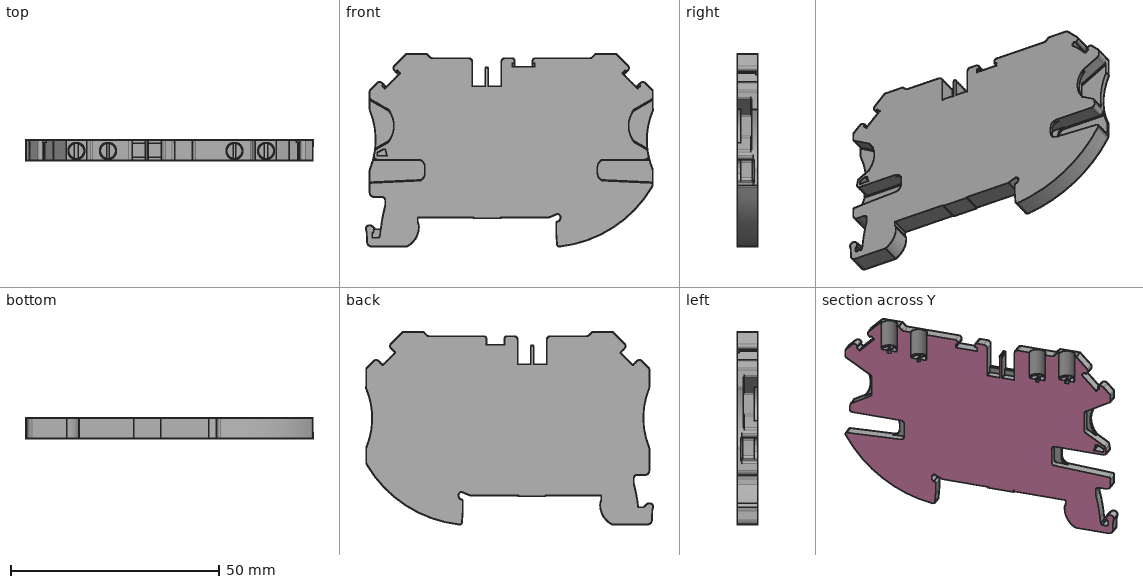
import cadquery as cq
import math


thickness = 5.0
height = 46.2
half_width = 34.0
shoulder_z = 45.25
flat_outer_x = 25.25
flat_inner_x = 20.2
flat_step_run = 1.0
step_radius = 0.75
corner_drop = half_width - flat_outer_x
corner_radius = 0.6
base_z = 7.0
pad_drop = 0.2
web_y = 4.4

waist_top_z = 32.85
waist_bottom_z = 18.4
waist_depth = 1.45
waist_blend_radius = 1.4
tip_overhang = 0.1

notch_start = 4.75
notch_width = 4.2
notch_depth = 2.3
notch_lip_radius = 0.8
undercut_reach = 0.5
undercut_height = 1.0

bridge_left_x = -9.3
bridge_right_x = -2.4
bridge_floor_z = 38.5
bridge_corner_radius = 1.0
trough_margin = 0.8
trough_depth = 1.4
blade_width = 0.75
blade_top_z = 43.05
label_left_x = 0.8
label_right_x = 5.1
label_floor_z = 43.2
label_undercut_reach = 0.55
label_undercut_height = 0.8
label_corner_radius = 0.7

hole_xs = (15.2, 22.8)
hole_y = 2.35
hole_diameter = 4.0
screw_diameter = 3.7
hole_depth = 6.9
seat_depth = 0.35
driver_slot_widths = (0.7, 0.9)
driver_slot_depth = 0.7

skin = 0.8
mouth_radius = 0.55
land_radius = 0.8
floor_chamfer = 0.2
port_z = 29.0
port_floor_y = 3.5
port_skin_x = 29.7
port_skin_half = 4.0
port_skin_reach_x = 28.15
port_wall_x = 27.3
port_corner_radius = 0.55
port_slope = math.tan(math.radians(30))
slit_floor_y = 4.1
slit_cavity_y = 3.6
slit_top_z = 20.9
slit_end_x = 20.7
slit_end_z = 15.9
slit_mouth_z = 15.25
slit_corner_radius = 1.8
slit_cavity_x = 19.0
slit_cavity_radius = 0.7
outside_x = half_width + 2.1


def plane(y):
    """Sketch plane facing forward at the given Y; sketches on it use (x, z)."""
    return cq.Workplane("XZ", origin=(0, y, 0))


def slab(points, y_from, y_to):
    """Closed polygon of (x, z) points, extruded between two Y levels."""
    return plane(y_from).polyline(points).close().extrude(y_from - y_to)


def box(x_from, x_to, y_from, y_to, z_from, z_to):
    return cq.Workplane("XY").box(
        x_to - x_from, y_to - y_from, z_to - z_from, centered=False
    ).translate((x_from, y_from, z_from))


def both_sides(left):
    """A left-hand shape together with its mirror image on the right."""
    return left.union(left.mirror("YZ"))


def round_edges(body, corners, radius):
    """Round the front-to-back edges that pass through the given (x, z) corners."""
    tolerance = 0.035
    for x, z in corners:
        near = cq.selectors.BoxSelector(
            (x - tolerance, -0.7, z - tolerance), (x + tolerance, thickness + 0.7, z + tolerance)
        )
        body = body.edges("|Y").edges(near).fillet(radius)
    return body


def housing():
    """Side profile of the whole part, extruded through its thickness."""
    waist_mid_z = (waist_top_z + waist_bottom_z) / 2
    waist_x = half_width - waist_depth
    corner_z = height - corner_drop
    profile = (
        plane(0)
        .moveTo(-flat_outer_x, height)
        .lineTo(-flat_inner_x, height)
        .lineTo(-flat_inner_x + flat_step_run, shoulder_z)
        .lineTo(flat_inner_x - flat_step_run, shoulder_z)
        .lineTo(flat_inner_x, height)
        .lineTo(flat_outer_x, height)
        .lineTo(half_width, corner_z)
        .lineTo(half_width, waist_top_z + 2 * tip_overhang)
        .lineTo(half_width + tip_overhang, waist_top_z)
        .threePointArc((waist_x, waist_mid_z), (half_width, waist_bottom_z))
        .lineTo(half_width, 14.7)
        .lineTo(33.75, 14.2)
        .threePointArc((24.2, 4.4), (11.7, 0))
        .threePointArc((11.2, 0.15), (11.0, 0.55))
        .lineTo(10.75, 3.2)
        .lineTo(10.75, 5.6)
        .threePointArc((10.9, 5.9), (11.25, 6.1))
        .threePointArc((11.8, 7.05), (11.2, 7.85))
        .lineTo(9.05, base_z)
        .lineTo(-2.55, base_z)
        .lineTo(-2.55, base_z - pad_drop)
        .lineTo(-9.05, base_z - pad_drop)
        .lineTo(-9.05, base_z)
        .lineTo(-22.4, base_z)
        .lineTo(-22.4, 5.85)
        .lineTo(-22.15, 5.25)
        .threePointArc((-22.9, 2.0), (-25.05, 0))
        .lineTo(-33.45, 0)
        .threePointArc((-34.3, 0.35), (-34.6, 1.2))
        .lineTo(-34.7, 3.4)
        .lineTo(-34.9, 4.2)
        .threePointArc((-34.2, 5.1), (-33.25, 4.8))
        .lineTo(-32.6, 4.2)
        .lineTo(-31.3, 4.2)
        .threePointArc((-30.9, 7.05), (-30.3, 9.7))
        .lineTo(-30.3, 11.05)
        .threePointArc((-30.5, 11.65), (-31.1, 11.9))
        .lineTo(-32.85, 11.9)
        .threePointArc((-33.7, 12.2), (-half_width, 13.05))
        .lineTo(-half_width, waist_bottom_z)
        .threePointArc((-waist_x, waist_mid_z), (-half_width, waist_top_z))
        .lineTo(-half_width, corner_z)
        .close()
    )
    blank = profile.extrude(-thickness)
    step_x = flat_inner_x - flat_step_run
    blank = round_edges(blank, [(-step_x, shoulder_z), (step_x, shoulder_z)], step_radius)
    blank = round_edges(blank, [(-half_width, corner_z), (half_width, corner_z)], corner_radius)
    waist_ends = [(-half_width, waist_top_z), (-half_width, waist_bottom_z), (half_width, waist_bottom_z)]
    return round_edges(blank, waist_ends, waist_blend_radius)


def hook_pocket():
    """Undercut behind the hook of the left foot, closed by the rear web."""
    return slab(
        [(-33.0, 4.5), (-33.0, 3.5), (-33.4, 3.2), (-33.4, 2.35), (-33.1, 2.1),
         (-31.9, 2.1), (-31.5, 2.5), (-31.3, 4.2), (-32.6, 4.2)],
        0, web_y,
    )


def marker_notch():
    """Left corner notch, drawn upright with the corner face at Z = 0, then tilted into place."""
    end = notch_start + notch_width
    reach = notch_lip_radius
    opening = box(notch_start, end, 0, thickness, -notch_depth, reach)
    undercut = box(notch_start - undercut_reach, end + undercut_reach, 0, web_y,
                   -notch_depth, undercut_height - notch_depth)
    notch = opening.union(undercut)
    for x, side in ((notch_start, -1), (end, 1)):
        lip = box(min(x, x + side * reach), max(x, x + side * reach), 0, thickness, -reach, 0)
        round_lip = plane(0).center(x + side * reach, -reach).circle(reach).extrude(-thickness)
        notch = notch.union(lip.cut(round_lip))
    return (
        notch.mirror("YZ")
        .rotate((0, 0, 0), (0, 1, 0), -45)
        .translate((-flat_outer_x, 0, height))
    )


def cut_bridge_slot(body):
    """Deep slot with a trough in its floor and a thin blade standing in the middle."""
    slot = box(bridge_left_x, bridge_right_x, 0, thickness, bridge_floor_z, height)
    trough = box(bridge_left_x, bridge_right_x, trough_margin, thickness - trough_margin,
                 bridge_floor_z - trough_depth, bridge_floor_z)
    mid_x = (bridge_left_x + bridge_right_x) / 2
    half = blade_width / 2
    blade = slab(
        [(mid_x - half, bridge_floor_z - trough_depth), (mid_x + half, bridge_floor_z - trough_depth),
         (mid_x + half, blade_top_z - half), (mid_x + half / 2, blade_top_z),
         (mid_x - half / 2, blade_top_z), (mid_x - half, blade_top_z - half)],
        0, thickness,
    )
    body = body.cut(slot)
    body = round_edges(body, [(bridge_left_x, shoulder_z), (bridge_right_x, shoulder_z)],
                       bridge_corner_radius)
    return body.cut(trough).union(blade)


def cut_label_slot(body):
    """Shallow slot with an undercut along both walls."""
    slot = box(label_left_x, label_right_x, 0, thickness, label_floor_z, height)
    undercut = box(label_left_x - label_undercut_reach, label_right_x + label_undercut_reach, 0, web_y,
                   label_floor_z, label_floor_z + label_undercut_height)
    body = body.cut(slot)
    body = round_edges(body, [(label_left_x, shoulder_z), (label_right_x, shoulder_z)],
                       label_corner_radius)
    return body.cut(undercut)


def screw_hole(x, top_z, slot_width):
    """Round hole down to a slotted screw head."""
    def cylinder(diameter, depth):
        return cq.Workplane("XY", origin=(x, hole_y, top_z)).circle(diameter / 2).extrude(-depth)

    head_z = top_z - hole_depth
    driver_slot = box(x - slot_width / 2, x + slot_width / 2, 0, thickness,
                      head_z - driver_slot_depth, head_z)
    driver_slot = driver_slot.intersect(cylinder(screw_diameter, hole_depth + driver_slot_depth))
    return (
        cylinder(hole_diameter, hole_depth - seat_depth)
        .union(cylinder(screw_diameter, hole_depth))
        .union(driver_slot)
    )


def end_rounded(points, y_from, y_to, radius):
    """Slab with its two inner (+X) corners rounded."""
    return slab(points, y_from, y_to).edges("|Y").edges(">X").fillet(radius)


def bevel_long_walls(points, y_from, y_to):
    """Slab whose floor is bevelled along the long walls, not along the upright end."""
    return slab(points, y_from, y_to).faces(">Y").edges("not |Z").chamfer(floor_chamfer)


def port_outline(end_x):
    """Corners of the port, whose walls close in at a constant slope up to the given end."""
    def half(x):
        return port_skin_half + (x - port_skin_x) * port_slope

    return [(-outside_x, port_z - half(outside_x)), (-end_x, port_z - half(end_x)),
            (-end_x, port_z + half(end_x)), (-outside_x, port_z + half(outside_x))]


def port_recess():
    """Left wire port: curved skin edge in front, deeper cavity behind it."""
    bottom_mouth, bottom_end, top_end, top_mouth = port_outline(port_skin_x)
    opening = (
        plane(0)
        .moveTo(*bottom_mouth)
        .lineTo(*bottom_end)
        .threePointArc((-port_skin_reach_x, port_z), top_end)
        .lineTo(*top_mouth)
        .close()
        .extrude(-skin)
    )
    outline = port_outline(port_wall_x)
    cavity = end_rounded(outline, skin, port_floor_y, port_corner_radius)
    return opening.union(cavity.intersect(bevel_long_walls(outline, skin, port_floor_y)))


def slit_outline(end_x):
    """Corners of the slit; its lower wall drops steadily towards the mouth."""
    fall = (slit_end_z - slit_mouth_z) / (half_width - slit_end_x)
    return [(-outside_x, slit_top_z), (-end_x, slit_top_z),
            (-end_x, slit_end_z + fall * (slit_end_x - end_x)),
            (-outside_x, slit_end_z - fall * (outside_x - slit_end_x))]


def slit_recess():
    """Left slit: rounded end, with a longer cavity between skin and floor."""
    outline = slit_outline(slit_end_x)
    opening = end_rounded(outline, 0, slit_floor_y, slit_corner_radius)
    opening = opening.intersect(bevel_long_walls(outline, 0, slit_floor_y))
    cavity = end_rounded(slit_outline(slit_cavity_x), skin, slit_cavity_y, slit_cavity_radius)
    return opening.union(cavity)


def latch_window():
    """Small five-sided pocket between the left port and slit."""
    return slab([(-32.15, 21.8), (-29.8, 21.8), (-30.2, 23.3), (-30.7, 23.3), (-32.15, 22.55)],
                0, port_floor_y)


def cut_rounded_mouths(body):
    """Open both recesses down to their floor bevels and round where their walls run out of the ends."""
    port = slab(port_outline(port_skin_x), 0, port_floor_y - floor_chamfer)
    slit = end_rounded(slit_outline(slit_end_x), 0, slit_floor_y - floor_chamfer, slit_corner_radius)
    body = body.cut(both_sides(port)).cut(both_sides(slit))

    port_mouth_half = port_skin_half + (half_width - port_skin_x) * port_slope
    margin = 0.2
    mouth_bands = (
        (port_z + port_mouth_half - margin, port_z + port_mouth_half + margin, mouth_radius),
        (slit_top_z - margin, port_z - port_skin_half - margin, land_radius),
        (slit_mouth_z - margin, slit_mouth_z + margin, mouth_radius),
    )
    inner_x = half_width - waist_depth - margin
    for low, high, radius in mouth_bands:
        for x_from, x_to in ((-outside_x, -inner_x), (inner_x, outside_x)):
            mouth = cq.selectors.BoxSelector((x_from, 0, low), (x_to, thickness / 2, high))
            body = body.edges("|Y").edges(mouth).fillet(radius)
    return body


body = housing()
body = cut_bridge_slot(body)
body = cut_label_slot(body)
body = body.cut(hook_pocket()).cut(both_sides(marker_notch()))
for x, z, width in zip(hole_xs, (shoulder_z, height), driver_slot_widths):
    body = body.cut(both_sides(screw_hole(x, z, width)))
body = cut_rounded_mouths(body)
body = body.cut(both_sides(port_recess())).cut(both_sides(slit_recess()))
result = body.cut(latch_window())